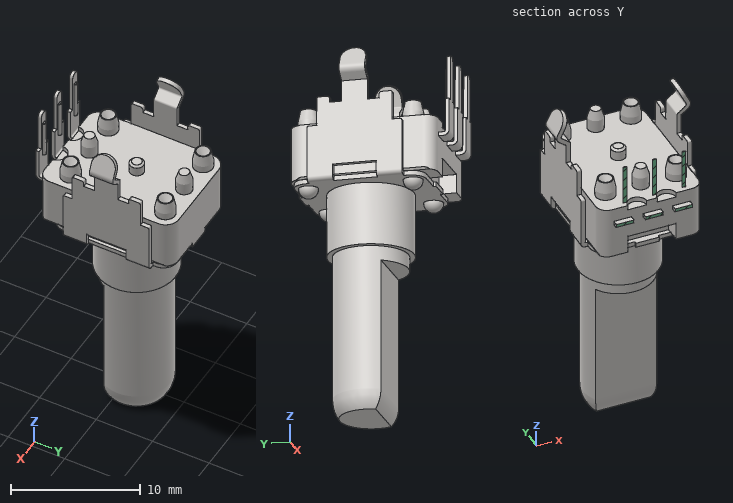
import cadquery as cq
import math


SHEET = 0.38
BRACKET_HALF_WIDTH = 4.9
BEND_RADIUS = 0.36
CLIP_INNER_X = BRACKET_HALF_WIDTH - SHEET
CLIP_MID_X = BRACKET_HALF_WIDTH - SHEET / 2
PLATE_SIDE_X = 4.3
PLATE_CORNER_RADIUS = 1.22
PLATE_CORNER_Y = 5.28
PLATE_TAB_Y = 5.5
PLATE_TAB_HALF_WIDTH = 1.0
CLIP_TOP_Z = 10.55
KNEE_Z = 8.02
ELBOW_X = 5.6
ELBOW_Z = 8.72
TIP_MID_X = 4.74
TIP_EDGE_RISE = 0.08
TIP_MID_Z = CLIP_TOP_Z - TIP_EDGE_RISE
KNEE_RADIUS = 0.2
ELBOW_RADIUS = 0.55
CLIP_HALF_WIDTH = 3.81
SHOULDER_Z = 4.48
UPPER_HALF_WIDTH = 3.03
EAR_TOP_Z = 6.8
EAR_INNER_Y = 1.98
EAR_FOOT_Z = 6.3
TONGUE_HALF_WIDTH = 1.04
TONGUE_TIP_RADIUS = 1.0
SHOULDER_RADIUS = 0.15
EAR_RADIUS = 0.22
WINDOW_HALF_WIDTH = 1.75
WINDOW_TOP_Z = 1.22

BODY_BOTTOM_Z = SHEET
BODY_TOP_Z = 4.8
BODY_HALF_WIDTH = 4.37
BODY_FRONT_Y = -6.3
BODY_REAR_Y = 5.5
FRONT_CORNER_RADIUS = 0.95
REAR_CORNER_RADIUS = 1.2
BEND_RELIEF_WIDTH = 0.15
BEND_RELIEF_HEIGHT = 0.18
NOTCH_HALF_WIDTH = 2.05
NOTCH_TOP_Z = 1.87
NOTCH_DEPTH = 1.4
SCALLOP_RADIUS = 0.8
SCALLOP_DEPTH = 0.4

PEG_X = 3.0
PEG_Y = 4.2
TUBE_RADIUS = 0.83
TUBE_SHOULDER_Z = 5.4
TUBE_TOP_RADIUS = 0.64
TUBE_TOP_Z = 6.33
BORE_TOP_RADIUS = 0.56
BORE_DEPTH = 0.8
BOSS_RADIUS = 0.67
BOSS_SHOULDER_Z = 5.85
BOSS_TOP_RADIUS = 0.43
BOSS_TOP_Z = 6.63
CENTER_BOSS_RADIUS = 0.6
CENTER_BOSS_HEIGHT = 1.0
CENTER_BOSS_CHAMFER = 0.18
RIVET_RADIUS = 0.78

PIN_PITCH = 2.5
PIN_THICKNESS = 0.3
PIN_OUTER_Y = -7.15
PIN_BOTTOM_Z = 3.35
PIN_BEND_RADIUS = 0.45
PIN_WIDE = 1.5
PIN_NARROW = 0.8
PIN_STEP_Z = 6.35
PIN_TOP_Z = 10.0
PIN_ROOT_Y = BODY_FRONT_Y + 0.5
RIB_RADIUS = 0.2
RIB_END_CHAMFER = 0.05
RIB_BOTTOM_Z = 5.5
RIB_TOP_Z = 8.9

BUSH_RADIUS = 3.45
BUSH_BOTTOM_Z = -5.0
SHAFT_RADIUS = 3.0
SHAFT_BOTTOM_Z = -18.15
FLAT_Y = -1.5
FLAT_TOP_Z = -6.15
TIP_ROUND_HEIGHT = 1.5
TIP_ROUND_INSET = 0.5


def box(x0, x1, y0, y1, z0, z1):
    return cq.Workplane("XY").box(x1 - x0, y1 - y0, z1 - z0, centered=False).translate((x0, y0, z0))


def cylinder(x, y, radius, z0, z1):
    return cq.Workplane("XY", origin=(x, y, z0)).circle(radius).extrude(z1 - z0)


def nearest(point):
    return cq.selectors.NearestToPointSelector(point)


def mirrored_outline(half):
    """Close a chain of (u, v) points with its mirror image across u = 0."""
    return half + [(-u, v) for u, v in reversed(half)]


def strip_outline(path, thickness):
    """Outline of a mitred strip of constant thickness along a centre line."""
    headings = [math.atan2(b[1] - a[1], b[0] - a[0]) for a, b in zip(path, path[1:])]
    left = []
    right = []
    for i, (u, v) in enumerate(path):
        before = headings[max(i - 1, 0)]
        after = headings[min(i, len(headings) - 1)]
        normal = (before + after) / 2 + math.pi / 2
        reach = thickness / 2 / math.cos((after - before) / 2)
        du = reach * math.cos(normal)
        dv = reach * math.sin(normal)
        left.append((u + du, v + dv))
        right.append((u - du, v - dv))
    return left + right[::-1]


def make_body():
    body = box(-BODY_HALF_WIDTH, BODY_HALF_WIDTH, BODY_FRONT_Y, BODY_REAR_Y, BODY_BOTTOM_Z, BODY_TOP_Z)
    body = body.edges("|Z and <Y").fillet(FRONT_CORNER_RADIUS)
    body = body.edges("|Z and >Y").fillet(REAR_CORNER_RADIUS)

    relief = (
        cq.Workplane("XZ", origin=(0, BODY_REAR_Y, 0))
        .moveTo(BODY_HALF_WIDTH - BEND_RELIEF_WIDTH, BODY_BOTTOM_Z)
        .lineTo(BODY_HALF_WIDTH, BODY_BOTTOM_Z)
        .lineTo(BODY_HALF_WIDTH, BODY_BOTTOM_Z + BEND_RELIEF_HEIGHT)
        .close()
        .extrude(BODY_REAR_Y - BODY_FRONT_Y)
    )
    body = body.cut(relief).cut(relief.mirror("YZ"))

    body = body.cut(
        box(
            -NOTCH_HALF_WIDTH, NOTCH_HALF_WIDTH,
            BODY_FRONT_Y, BODY_FRONT_Y + NOTCH_DEPTH,
            BODY_BOTTOM_Z, NOTCH_TOP_Z,
        )
    )

    for side in (-1, 1):
        x = side * PIN_PITCH / 2
        body = body.cut(cylinder(x, BODY_FRONT_Y, SCALLOP_RADIUS, BODY_TOP_Z - SCALLOP_DEPTH, BODY_TOP_Z))
    return body


def make_tube_peg():
    profile = [
        (0, BODY_BOTTOM_Z),
        (TUBE_RADIUS, BODY_BOTTOM_Z),
        (TUBE_RADIUS, TUBE_SHOULDER_Z),
        (TUBE_TOP_RADIUS, TUBE_TOP_Z),
        (BORE_TOP_RADIUS, TUBE_TOP_Z),
        (0, TUBE_TOP_Z - BORE_DEPTH),
    ]
    return cq.Workplane("XZ").polyline(profile).close().revolve(360, (0, 0, 0), (0, 1, 0))


def make_boss_peg():
    profile = [
        (0, BODY_BOTTOM_Z),
        (BOSS_RADIUS, BODY_BOTTOM_Z),
        (BOSS_RADIUS, BOSS_SHOULDER_Z),
        (BOSS_TOP_RADIUS, BOSS_TOP_Z),
        (0, BOSS_TOP_Z),
    ]
    return cq.Workplane("XZ").polyline(profile).close().revolve(360, (0, 0, 0), (0, 1, 0))


def make_pegs():
    center_top = BODY_TOP_Z + CENTER_BOSS_HEIGHT
    pegs = cylinder(0, 0, CENTER_BOSS_RADIUS, BODY_BOTTOM_Z, center_top)
    pegs = pegs.faces(">Z").chamfer(CENTER_BOSS_CHAMFER)
    for y in (-PEG_Y, PEG_Y):
        pegs = pegs.union(make_boss_peg().translate((0, y, 0)))
        for x in (-PEG_X, PEG_X):
            pegs = pegs.union(make_tube_peg().translate((x, y, 0)))
            pegs = pegs.union(cylinder(x, y, RIVET_RADIUS, 0, BODY_BOTTOM_Z))
            pegs = pegs.union(cq.Workplane("XY").sphere(RIVET_RADIUS).translate((x, y, 0)))
    return pegs


def make_plate():
    corner_x = PLATE_SIDE_X - PLATE_CORNER_RADIUS
    corner_y = PLATE_CORNER_Y - PLATE_CORNER_RADIUS
    arc_x = corner_x + PLATE_CORNER_RADIUS * math.sqrt(0.5)
    arc_y = corner_y + PLATE_CORNER_RADIUS * math.sqrt(0.5)
    quarter = (
        cq.Workplane("XY")
        .lineTo(0, PLATE_TAB_Y)
        .lineTo(PLATE_TAB_HALF_WIDTH, PLATE_TAB_Y)
        .lineTo(PLATE_TAB_HALF_WIDTH, PLATE_CORNER_Y)
        .lineTo(corner_x, PLATE_CORNER_Y)
        .threePointArc((arc_x, arc_y), (PLATE_SIDE_X, corner_y))
        .lineTo(PLATE_SIDE_X, 0)
        .close()
        .extrude(SHEET)
    )
    half = quarter.union(quarter.mirror("YZ"))
    return half.union(half.mirror("XZ"))


def make_clip():
    """The clip on the +X side, including its bend at the plate."""
    path = [
        (PLATE_SIDE_X - SHEET, SHEET / 2),
        (CLIP_MID_X, SHEET / 2),
        (CLIP_MID_X, KNEE_Z),
        (ELBOW_X, ELBOW_Z),
        (TIP_MID_X, TIP_MID_Z),
    ]
    clip = (
        cq.Workplane("XZ", origin=(0, CLIP_HALF_WIDTH, 0))
        .polyline(strip_outline(path, SHEET))
        .close()
        .extrude(2 * CLIP_HALF_WIDTH)
    )
    clip = clip.edges(nearest((BRACKET_HALF_WIDTH, 0, 0))).fillet(BEND_RADIUS)
    clip = clip.edges(nearest((ELBOW_X + SHEET / 2, 0, ELBOW_Z))).fillet(ELBOW_RADIUS)
    elbow_inner_x = ELBOW_X - SHEET / 2
    clip = clip.edges(nearest((elbow_inner_x, 0, ELBOW_Z))).fillet(ELBOW_RADIUS - SHEET)
    clip = clip.edges(nearest((CLIP_INNER_X, 0, KNEE_Z))).fillet(KNEE_RADIUS)

    half = [
        (CLIP_HALF_WIDTH, 0),
        (CLIP_HALF_WIDTH, SHOULDER_Z),
        (UPPER_HALF_WIDTH, SHOULDER_Z),
        (UPPER_HALF_WIDTH, EAR_TOP_Z),
        (EAR_INNER_Y, EAR_TOP_Z),
        (EAR_INNER_Y, EAR_FOOT_Z),
        (TONGUE_HALF_WIDTH, EAR_FOOT_Z),
        (TONGUE_HALF_WIDTH, CLIP_TOP_Z),
    ]
    blank = cq.Workplane("YZ").polyline(mirrored_outline(half)).close().extrude(2 * BRACKET_HALF_WIDTH)

    def round_corners(solid, y, z, radius):
        for side in (-1, 1):
            near_corner = nearest((BRACKET_HALF_WIDTH, side * y, z))
            solid = solid.edges("|X").edges(near_corner).fillet(radius)
        return solid

    blank = round_corners(blank, CLIP_HALF_WIDTH, SHOULDER_Z, SHOULDER_RADIUS)
    blank = round_corners(blank, EAR_INNER_Y, EAR_TOP_Z, EAR_RADIUS)
    blank = round_corners(blank, UPPER_HALF_WIDTH, EAR_TOP_Z, SHOULDER_RADIUS)

    window = box(
        CLIP_INNER_X, BRACKET_HALF_WIDTH, -WINDOW_HALF_WIDTH, WINDOW_HALF_WIDTH, 0, WINDOW_TOP_Z
    )
    clip = clip.intersect(blank).cut(window)

    for side in (-1, 1):
        tip_corner = nearest((TIP_MID_X, side * TONGUE_HALF_WIDTH, TIP_MID_Z))
        clip = clip.edges(tip_corner).fillet(TONGUE_TIP_RADIUS)
    return clip


def make_pin():
    mid_y = PIN_OUTER_Y + PIN_THICKNESS / 2
    mid_z = PIN_BOTTOM_Z + PIN_THICKNESS / 2
    inner_y = PIN_OUTER_Y + PIN_THICKNESS
    path = [(PIN_ROOT_Y, mid_z), (mid_y, mid_z), (mid_y, PIN_TOP_Z)]
    pin = (
        cq.Workplane("YZ", origin=(-PIN_WIDE / 2, 0, 0))
        .polyline(strip_outline(path, PIN_THICKNESS))
        .close()
        .extrude(PIN_WIDE)
    )
    outer_corner = nearest((0, PIN_OUTER_Y, PIN_BOTTOM_Z))
    inner_corner = nearest((0, inner_y, PIN_BOTTOM_Z + PIN_THICKNESS))
    pin = pin.edges("|X").edges(outer_corner).fillet(PIN_BEND_RADIUS)
    pin = pin.edges("|X").edges(inner_corner).fillet(PIN_BEND_RADIUS - PIN_THICKNESS)

    blank = (
        cq.Workplane("XZ", origin=(0, PIN_ROOT_Y, 0))
        .moveTo(-PIN_WIDE / 2, PIN_BOTTOM_Z)
        .lineTo(PIN_WIDE / 2, PIN_BOTTOM_Z)
        .lineTo(PIN_WIDE / 2, PIN_STEP_Z)
        .lineTo(PIN_NARROW / 2, PIN_STEP_Z)
        .lineTo(PIN_NARROW / 2, PIN_TOP_Z - PIN_NARROW / 2)
        .threePointArc((0, PIN_TOP_Z), (-PIN_NARROW / 2, PIN_TOP_Z - PIN_NARROW / 2))
        .lineTo(-PIN_NARROW / 2, PIN_STEP_Z)
        .lineTo(-PIN_WIDE / 2, PIN_STEP_Z)
        .close()
        .extrude(PIN_ROOT_Y - PIN_OUTER_Y)
    )
    rib = cylinder(0, inner_y, RIB_RADIUS, RIB_BOTTOM_Z, RIB_TOP_Z).edges("%CIRCLE").chamfer(RIB_END_CHAMFER)
    rib = rib.intersect(
        box(-RIB_RADIUS, RIB_RADIUS, mid_y, inner_y + RIB_RADIUS, RIB_BOTTOM_Z, RIB_TOP_Z)
    )
    return pin.intersect(blank).union(rib)


def make_tip_profile(side_y):
    """Lengthwise (Y, Z) face from the axis out to side_y, curving inward at the free end."""
    inward = -math.copysign(1, side_y)
    end_y = side_y + inward * TIP_ROUND_INSET
    round_z = SHAFT_BOTTOM_Z + TIP_ROUND_HEIGHT
    return (
        cq.Workplane("YZ")
        .moveTo(0, 0)
        .lineTo(side_y, 0)
        .lineTo(side_y, round_z)
        .tangentArcPoint((end_y, SHAFT_BOTTOM_Z), relative=False)
        .lineTo(0, SHAFT_BOTTOM_Z)
        .close()
    )


def make_shaft():
    shaft = make_tip_profile(SHAFT_RADIUS).revolve(360, (0, 0, 0), (0, 1, 0))
    front = box(
        -SHAFT_RADIUS, SHAFT_RADIUS, -SHAFT_RADIUS, 0, SHAFT_BOTTOM_Z, FLAT_TOP_Z
    )
    kept = make_tip_profile(FLAT_Y).extrude(SHAFT_RADIUS, both=True)
    return shaft.cut(front.cut(kept))


bush = cylinder(0, 0, BUSH_RADIUS, BUSH_BOTTOM_Z, BODY_BOTTOM_Z)
clip = make_clip()
pin = make_pin()

result = make_body().union(make_plate()).union(bush).union(make_shaft()).union(make_pegs())
result = result.union(clip).union(clip.mirror("YZ"))
for column in (-1, 0, 1):
    result = result.union(pin.translate((column * PIN_PITCH, 0, 0)))